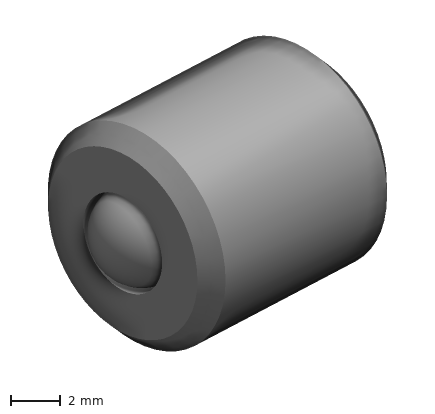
import cadquery as cq

BODY_DIAMETER = 10.0
OVERALL_LENGTH = 12.0
BALL_PROTRUSION = 1.1
BODY_LENGTH = OVERALL_LENGTH - BALL_PROTRUSION
CHAMFER = 0.8

BALL_DIAMETER = 4.42
BALL_RADIUS = BALL_DIAMETER / 2
BALL_CENTRE_Y = BALL_RADIUS - BALL_PROTRUSION


def make_body():
    """Plain cylinder from Y = 0 to Y = BODY_LENGTH, chamfered at both ends."""
    cylinder = cq.Workplane("XZ").circle(BODY_DIAMETER / 2).extrude(-BODY_LENGTH)
    return cylinder.faces("<Y or >Y").chamfer(CHAMFER)


def make_ball_bore():
    """Bore from the -Y face down to the equator of the ball."""
    return cq.Workplane("XZ").circle(BALL_RADIUS).extrude(-BALL_CENTRE_Y)


def make_ball():
    return cq.Workplane("XY").sphere(BALL_RADIUS).translate((0, BALL_CENTRE_Y, 0))


result = make_body().cut(make_ball_bore()).union(make_ball())